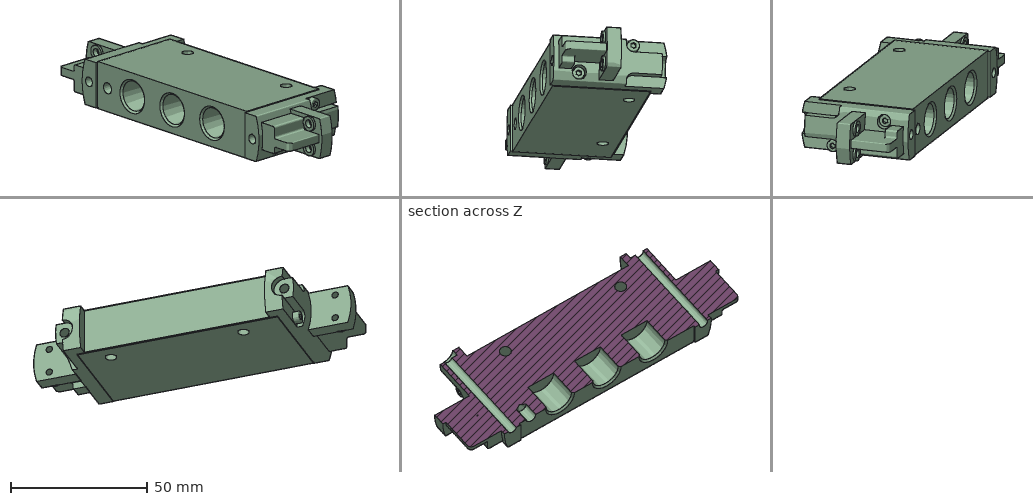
import cadquery as cq
import math


BODY_LENGTH = 78.8
BODY_DEPTH = 36.8
BODY_HEIGHT = 18.3
BODY_HALF = BODY_LENGTH / 2
BACK_PLATE_THICKNESS = 0.4
BACK_PLATE_HEIGHT = 17.6
PORT_DIAMETER = 11.45
PORT_MOUTH_DIAMETER = 13.0
PORT_CHAMFER = (PORT_MOUTH_DIAMETER - PORT_DIAMETER) / 2
PORT_DEPTH = 12.0
PORT_PITCH = 21.1
PILOT_X = -34.2
PILOT_DIAMETER = 4.2
PILOT_DEPTH = 6.0
DRILL_POINT_ANGLE = 118.0
MOUNT_HOLE_DIAMETER = 4.2
MOUNT_HOLE_XS = (-23.7, 28.4)
MOUNT_HOLE_Y = 30.7

CAP_HEIGHT = 17.6
CAP_HALF_HEIGHT = CAP_HEIGHT / 2
CAP_OUTER = 46.8
CAP_FRONT = -0.8
CAP_DEPTH = 43.1
CAP_BACK = CAP_FRONT + CAP_DEPTH
OUTER_BULGE_RADIUS = 26.0
CAP_BULGE = OUTER_BULGE_RADIUS - math.sqrt(OUTER_BULGE_RADIUS**2 - CAP_HALF_HEIGHT**2)
BACK_BULGE_RADIUS = 30.0
BACK_BULGE = BACK_BULGE_RADIUS - math.sqrt(BACK_BULGE_RADIUS**2 - CAP_HALF_HEIGHT**2)
CAP_EDGE_FILLET = 0.5
HOOK_INNER = 36.4
RECESS_FLOOR = 43.2
RECESS_START = 26.5
RECESS_CORNER_RADIUS = 2.7
BAND_BACK = 39.7
LONG_HOLE_DIAMETER = 3.6
LONG_HOLE_Z = 0.5
LONG_HOLE_SEAT_DIAMETER = 8.1
BAND_HALF_WIDTH = LONG_HOLE_SEAT_DIAMETER / 2

SCREW_HEAD_DIAMETER = 4.5
SCREW_HEAD_LENGTH = 2.4
SCREW_HEAD_FILLET = 0.3
SCREW_SOCKET_CORNERS = 2.2
SCREW_SOCKET_DEPTH = 1.2
SCREW_BORE_DIAMETER = 5.2
OPEN_SCREW = (29.2, -6.4)
SUNK_SCREW = (8.8, 5.3)
SUNK_SCREW_SEAT = 42.8

FLANGE_END = 62.4
FLANGE_FRONT = 16.2
FLANGE_THICKNESS = 5.3
FLANGE_HALF_HEIGHT = 7.75
FLANGE_BULGE = OUTER_BULGE_RADIUS - math.sqrt(OUTER_BULGE_RADIUS**2 - FLANGE_HALF_HEIGHT**2)
FLANGE_EDGE_FILLET = 0.4
CONNECTOR_ROOT = 45.1
EYELET_X = 56.2
EYELET_Z = 4.8
EYELET_DIAMETER = 5.6
EYELET_HEIGHT = 0.85
EYELET_BORE_DIAMETER = 3.0
EYELET_BORE_DEPTH = 2.0
EYELET_HOLE_DIAMETER = 2.46
TONGUE_END = 61.0
TONGUE_FRONT = 1.1
TONGUE_HALF_THICKNESS = 1.6
TONGUE_CORNER_RADIUS = 1.8
TONGUE_EDGE_FILLET = 0.3
KEY_END = 53.0
KEY_TOP = 4.3
KEY_BACK = 5.8
KEY_BOTTOM = -6.2
KEY_FILLET = 0.7


def block(x_range, y_range, z_range):
    """Box spanning the given low-to-high ranges."""
    (x0, x1), (y0, y1), (z0, z1) = x_range, y_range, z_range
    return cq.Workplane("XY").box(x1 - x0, y1 - y0, z1 - z0, centered=False).translate((x0, y0, z0))


def rod_along_y(diameter, x, z, y_start, y_end):
    """Cylinder parallel to Y."""
    base = cq.Workplane("XZ", origin=(x, y_start, z))
    return base.circle(diameter / 2).extrude(y_start - y_end)


def rod_along_x(diameter, place, x_start, x_end):
    """Cylinder parallel to X at a (Y, Z) place."""
    base = cq.Workplane("YZ", origin=(x_start, *place))
    return base.circle(diameter / 2).extrude(x_end - x_start)


def bulged_plate(inner, outer, half_height, bulge, y_start, y_end, fillet):
    """Plate on the -X side with an arched outer end and rounded outer edges."""
    shoulder = outer - bulge
    plate = (
        cq.Workplane("XZ", origin=(0, y_start, 0))
        .moveTo(-inner, -half_height)
        .lineTo(-shoulder, -half_height)
        .threePointArc((-outer, 0), (-shoulder, half_height))
        .lineTo(-inner, half_height)
        .close()
        .extrude(y_start - y_end)
    )
    middle_y = (y_start + y_end) / 2
    for side in (-1, 1):
        corner = (-shoulder, middle_y, side * half_height)
        plate = plate.edges(cq.selectors.NearestToPointSelector(corner)).fillet(fillet)
    return plate


def make_body():
    """Ported block with a thin, slightly lower plate on its back."""
    body = block(
        (-BODY_HALF, BODY_HALF), (0, BODY_DEPTH), (-BODY_HEIGHT / 2, BODY_HEIGHT / 2)
    )
    back_plate = block(
        (-BODY_HALF, BODY_HALF),
        (BODY_DEPTH, BODY_DEPTH + BACK_PLATE_THICKNESS),
        (-BACK_PLATE_HEIGHT / 2, BACK_PLATE_HEIGHT / 2),
    )
    body = body.union(back_plate)
    for x in (-PORT_PITCH, 0, PORT_PITCH):
        body = body.cut(rod_along_y(PORT_DIAMETER, x, 0, 0, PORT_DEPTH))
        body = body.cut(
            cq.Workplane("XZ", origin=(x, 0, 0))
            .circle(PORT_MOUTH_DIAMETER / 2)
            .workplane(offset=-PORT_CHAMFER)
            .circle(PORT_DIAMETER / 2)
            .loft()
        )
    for x in MOUNT_HOLE_XS:
        hole = cq.Workplane("XY").center(x, MOUNT_HOLE_Y).circle(MOUNT_HOLE_DIAMETER / 2)
        body = body.cut(hole.extrude(BODY_HEIGHT, both=True))
    return body.cut(make_pilot_hole())


def make_pilot_hole():
    """Blind drilled hole with a conical bottom, turned about its own axis."""
    radius = PILOT_DIAMETER / 2
    point_length = radius / math.tan(math.radians(DRILL_POINT_ANGLE / 2))
    return (
        cq.Workplane("XY", origin=(PILOT_X, 0, 0))
        .polyline([(0, 0), (radius, 0), (radius, PILOT_DEPTH), (0, PILOT_DEPTH + point_length)])
        .close()
        .revolve(360, (0, 0), (0, 1))
    )


def make_cap_blank():
    """Plate closing the body end, with a hook reaching over the back of the body."""
    plate = bulged_plate(
        BODY_HALF, CAP_OUTER, CAP_HALF_HEIGHT, CAP_BULGE, CAP_FRONT, CAP_BACK, CAP_EDGE_FILLET
    )
    hook = block(
        (-RECESS_FLOOR, -HOOK_INNER), (BODY_DEPTH, CAP_BACK), (-CAP_HALF_HEIGHT, CAP_HALF_HEIGHT)
    )
    arched_back = (
        cq.Workplane("YZ", origin=(-CAP_OUTER, 0, 0))
        .moveTo(CAP_FRONT, -CAP_HALF_HEIGHT)
        .lineTo(CAP_BACK - BACK_BULGE, -CAP_HALF_HEIGHT)
        .threePointArc((CAP_BACK, 0), (CAP_BACK - BACK_BULGE, CAP_HALF_HEIGHT))
        .lineTo(CAP_FRONT, CAP_HALF_HEIGHT)
        .close()
        .extrude(CAP_OUTER - HOOK_INNER)
    )
    return plate.union(hook).intersect(arched_back)


def make_recess(side):
    """Pocket beside the raised band of the cap, above (+1) or below (-1) it."""
    band_edge = LONG_HOLE_Z + side * BAND_HALF_WIDTH
    z_range = sorted((band_edge, side * CAP_HEIGHT))
    pocket = block((-CAP_OUTER, -RECESS_FLOOR), (RECESS_START, CAP_BACK), z_range)
    corner = (-RECESS_FLOOR, RECESS_START, band_edge)
    corner_edge = pocket.edges("|X").edges(cq.selectors.NearestToPointSelector(corner))
    return corner_edge.fillet(RECESS_CORNER_RADIUS)


def make_screw_head(place, seat):
    """Round head standing on a seat on the -X side, with a hexagon socket."""
    head_top = -seat - SCREW_HEAD_LENGTH
    head = rod_along_x(SCREW_HEAD_DIAMETER, place, -seat, head_top)
    head = head.faces("<X").edges().fillet(SCREW_HEAD_FILLET)
    socket = (
        cq.Workplane("YZ", origin=(head_top, *place))
        .transformed(rotate=(0, 0, 90))
        .polygon(6, SCREW_SOCKET_CORNERS)
        .extrude(SCREW_SOCKET_DEPTH)
    )
    return head.cut(socket)


def make_cap():
    cap = make_cap_blank()
    for side in (-1, 1):
        cap = cap.cut(make_recess(side))
    behind_band = block(
        (-CAP_OUTER, -RECESS_FLOOR), (BAND_BACK, CAP_BACK), (-CAP_HALF_HEIGHT, CAP_HALF_HEIGHT)
    )
    cap = cap.cut(behind_band)
    cap = cap.cut(rod_along_y(LONG_HOLE_SEAT_DIAMETER, -RECESS_FLOOR, LONG_HOLE_Z, BAND_BACK, CAP_BACK))
    cap = cap.cut(rod_along_y(LONG_HOLE_DIAMETER, -RECESS_FLOOR, LONG_HOLE_Z, CAP_FRONT, CAP_BACK))
    cap = cap.cut(rod_along_x(SCREW_BORE_DIAMETER, SUNK_SCREW, -SUNK_SCREW_SEAT, -CAP_OUTER))
    cap = cap.union(make_screw_head(OPEN_SCREW, RECESS_FLOOR))
    return cap.union(make_screw_head(SUNK_SCREW, SUNK_SCREW_SEAT))


def make_flange():
    """Upright connector plate with two eyelets on its front face."""
    flange_back = FLANGE_FRONT + FLANGE_THICKNESS
    flange = bulged_plate(
        CONNECTOR_ROOT, FLANGE_END, FLANGE_HALF_HEIGHT, FLANGE_BULGE,
        FLANGE_FRONT, flange_back, FLANGE_EDGE_FILLET,
    )
    rim = FLANGE_FRONT - EYELET_HEIGHT
    for z in (-EYELET_Z, EYELET_Z):
        flange = flange.union(rod_along_y(EYELET_DIAMETER, -EYELET_X, z, rim, FLANGE_FRONT))
        flange = flange.cut(rod_along_y(EYELET_BORE_DIAMETER, -EYELET_X, z, rim, rim + EYELET_BORE_DEPTH))
        flange = flange.cut(rod_along_y(EYELET_HOLE_DIAMETER, -EYELET_X, z, rim, flange_back))
    return flange


def make_tongue():
    """Flat blade with a rounded end face and a rounded front outer corner."""
    limits = (
        (-TONGUE_END, -CONNECTOR_ROOT),
        (TONGUE_FRONT, FLANGE_FRONT),
        (-TONGUE_HALF_THICKNESS, TONGUE_HALF_THICKNESS),
    )
    blade = block(*limits).faces("<X").edges("|Y").fillet(TONGUE_EDGE_FILLET)
    cornered = block(*limits).edges("|Z and <X and <Y").fillet(TONGUE_CORNER_RADIUS)
    return blade.intersect(cornered)


def make_key(height, y_end):
    """Rib standing on the tongue plane with a rounded top edge and a fillet at its foot."""
    foot = TONGUE_HALF_THICKNESS
    return (
        cq.Workplane("XZ", origin=(0, TONGUE_FRONT, 0))
        .moveTo(-CONNECTOR_ROOT, 0)
        .lineTo(-KEY_END - KEY_FILLET, 0)
        .lineTo(-KEY_END - KEY_FILLET, foot)
        .radiusArc((-KEY_END, foot + KEY_FILLET), -KEY_FILLET)
        .lineTo(-KEY_END, height - KEY_FILLET)
        .radiusArc((-KEY_END + KEY_FILLET, height), KEY_FILLET)
        .lineTo(-CONNECTOR_ROOT, height)
        .close()
        .extrude(TONGUE_FRONT - y_end)
    )


def make_end():
    """Complete -X end: cap, screws and connector."""
    upper_key = make_key(KEY_TOP, KEY_BACK)
    lower_key = make_key(-KEY_BOTTOM, FLANGE_FRONT).mirror("XY")
    return make_cap().union(make_flange()).union(make_tongue()).union(upper_key).union(lower_key)


left_end = make_end()
right_end = left_end.rotate((0, 0, 0), (0, 1, 0), 180)
result = make_body().union(left_end).union(right_end)